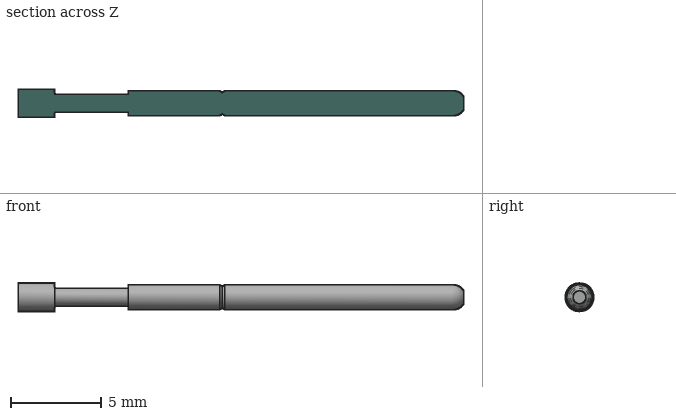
import cadquery as cq

total_length = 24.65

head_diameter = 1.58
head_length = 2.02
stem_diameter = 1.0
head_fillet = 0.07

barrel_start = 6.09
barrel_diameter = 1.4
groove_center = 11.29
groove_width = 0.3
groove_depth = 0.1
nose_length = 0.6
nose_tip_diameter = 0.71

head_radius = head_diameter / 2
stem_radius = stem_diameter / 2
barrel_radius = barrel_diameter / 2
nose_tip_radius = nose_tip_diameter / 2


def make_plunger():
    """Head and stem, with a small fillet where the stem leaves the head."""
    head = cq.Workplane("YZ").circle(head_radius).extrude(head_length)
    stem = cq.Workplane("YZ").circle(stem_radius).extrude(barrel_start)
    root = cq.selectors.RadiusNthSelector(0)
    return head.union(stem).faces("<X[1]").edges(root).fillet(head_fillet)


def make_barrel():
    """Revolved barrel profile with a V-shaped groove and a nose arc tangent to the barrel."""
    groove_half = groove_width / 2
    nose_start = total_length - nose_length
    profile = (
        cq.Workplane("XY")
        .moveTo(barrel_start, 0)
        .lineTo(barrel_start, barrel_radius)
        .lineTo(groove_center - groove_half, barrel_radius)
        .lineTo(groove_center, barrel_radius - groove_depth)
        .lineTo(groove_center + groove_half, barrel_radius)
        .lineTo(nose_start, barrel_radius)
        .tangentArcPoint((total_length, nose_tip_radius), relative=False)
        .lineTo(total_length, 0)
        .close()
    )
    return profile.revolve(360, (0, 0, 0), (1, 0, 0))


result = make_plunger().union(make_barrel())